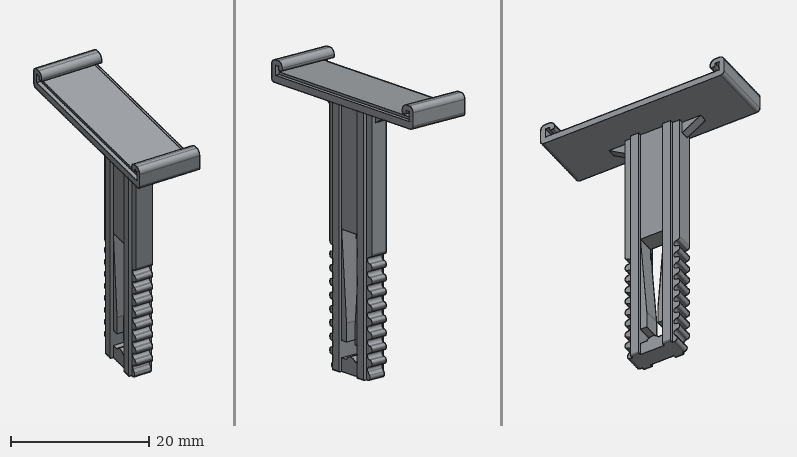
import cadquery as cq
import math

total_height = 44.65
plate_length = 31.1
plate_width = 10.0
half_length = plate_length / 2

channel_depth = 3.5
edge_thickness = 1.1
hook_thickness = 0.85
hook_reach = 2.35
hook_drop = 1.45
hook_bend_radius = 0.95
hook_tip_radius = 0.22
plate_corner_radius = 0.6
pad_height = 0.4
pad_margin = 0.65
plate_bottom = total_height - channel_depth
plate_top = plate_bottom + edge_thickness

post_y = 1.95
rail_depth = 3.85
body_depth = 2.75
rail_outer_x = 3.4
rail_inner_x = 2.0
rail_tip_radius = 0.2
post_half_width = 4.65

groove_count = 9
shoulder_z = 19.35
lowest_crest_z = 2.7
tooth_pitch = (shoulder_z - lowest_crest_z) / (groove_count - 1)
crest_land = 0.1
flank_length = 0.2
flank_turn = math.radians(80)
arc_rise = (tooth_pitch - crest_land - 2 * flank_length * math.cos(flank_turn)) / 4
tooth_radius = arc_rise / math.sin(flank_turn)
arc_depth = tooth_radius * (1 - math.cos(flank_turn))
groove_floor_x = post_half_width - 2 * arc_depth - flank_length * math.sin(flank_turn)
tip_lobe_x = 4.25
tip_lobe_radius = 0.55

slot_top = 21.6
taper_end_z = 7.6
finger_gap_half = 0.95
finger_bottom_z = 4.75
foot_height = 2.1
bump_height = 0.55
bump_half_width = 1.0

gusset_reach = 3.13
gusset_drop = 1.95
gusset_depth = 1.4


def front_plane(y_start):
    """Sketch plane facing -Y, with local x = X and local y = Z."""
    return cq.Workplane("XZ", origin=(0, y_start, 0))


def slab(outline, y_middle, depth):
    """Extrude a closed front outline to a depth centred on y_middle."""
    return outline(front_plane(y_middle - depth / 2)).extrude(-depth)


def with_mirror(solid):
    """Join a right-hand solid to its mirror image across X = 0."""
    return solid.union(solid.mirror("YZ"))


def hook_channel_outline(plane):
    """Right half of the plate section, including the curled hook."""
    inner_x = half_length - hook_thickness
    tip_x = half_length - hook_reach
    tip_inner_x = tip_x + hook_thickness
    under_hook_z = total_height - hook_thickness
    tip_z = total_height - hook_drop
    return (
        plane.moveTo(0, plate_bottom)
        .lineTo(half_length - plate_corner_radius, plate_bottom)
        .radiusArc((half_length, plate_bottom + plate_corner_radius), -plate_corner_radius)
        .lineTo(half_length, under_hook_z)
        .radiusArc((inner_x, total_height), -hook_thickness)
        .lineTo(tip_x + hook_bend_radius, total_height)
        .radiusArc((tip_x, total_height - hook_bend_radius), -hook_bend_radius)
        .lineTo(tip_x, tip_z + hook_tip_radius)
        .radiusArc((tip_x + hook_tip_radius, tip_z), -hook_tip_radius)
        .lineTo(tip_inner_x - hook_tip_radius, tip_z)
        .radiusArc((tip_inner_x, tip_z + hook_tip_radius), -hook_tip_radius)
        .lineTo(tip_inner_x, under_hook_z)
        .lineTo(inner_x, under_hook_z)
        .lineTo(inner_x, plate_top)
        .lineTo(0, plate_top)
        .close()
    )


def make_plate():
    channel = with_mirror(slab(hook_channel_outline, 0, plate_width))
    pad = cq.Workplane("XY", origin=(0, 0, plate_bottom)).box(
        plate_length - 2 * hook_thickness,
        plate_width - 2 * pad_margin,
        edge_thickness + pad_height,
        centered=(True, True, False),
    )
    return channel.union(pad)


def add_tip_lobe(outline):
    """Run the lowest groove along a tangent flank onto the rounded lobe at the tip."""
    groove_z = lowest_crest_z - tooth_pitch / 2
    groove_axis_x = groove_floor_x + tooth_radius
    lobe_axis_x = tip_lobe_x - tip_lobe_radius
    lobe_axis_z = tip_lobe_radius
    across = groove_axis_x - lobe_axis_x
    up = groove_z - lobe_axis_z
    tilt = math.atan2(up, across) - math.acos((tooth_radius + tip_lobe_radius) / math.hypot(across, up))
    groove_end = (
        groove_axis_x - tooth_radius * math.cos(tilt),
        groove_z - tooth_radius * math.sin(tilt),
    )
    lobe_start = (
        lobe_axis_x + tip_lobe_radius * math.cos(tilt),
        lobe_axis_z + tip_lobe_radius * math.sin(tilt),
    )
    return (
        outline.radiusArc(groove_end, -tooth_radius)
        .lineTo(*lobe_start)
        .threePointArc((tip_lobe_x, lobe_axis_z), (lobe_axis_x, 0))
    )


def body_outline(plane):
    """Right half of the toothed body, drawn from the plate down to the tip."""
    crest_side_x = post_half_width - arc_depth
    groove_side_x = groove_floor_x + arc_depth
    outline = plane.moveTo(0, plate_bottom).lineTo(post_half_width, plate_bottom)
    for index in range(groove_count):
        crest_z = shoulder_z - index * tooth_pitch
        groove_z = crest_z - tooth_pitch / 2
        crest_low_z = crest_z - crest_land / 2
        next_crest_top_z = crest_z - tooth_pitch + crest_land / 2
        outline = (
            outline.lineTo(post_half_width, crest_low_z)
            .radiusArc((crest_side_x, crest_low_z - arc_rise), tooth_radius)
            .lineTo(groove_side_x, groove_z + arc_rise)
            .radiusArc((groove_floor_x, groove_z), -tooth_radius)
        )
        if index < groove_count - 1:
            outline = (
                outline.radiusArc((groove_side_x, groove_z - arc_rise), -tooth_radius)
                .lineTo(crest_side_x, next_crest_top_z + arc_rise)
                .radiusArc((post_half_width, next_crest_top_z), tooth_radius)
            )
    return add_tip_lobe(outline).lineTo(0, 0).close()


def slot_outline(plane):
    """Slot between the tapered fingers, floored by the foot and its domed bump."""
    right_wall = [
        (rail_inner_x, foot_height),
        (rail_inner_x, finger_bottom_z),
        (finger_gap_half, finger_bottom_z),
        (finger_gap_half, taper_end_z),
        (rail_inner_x, slot_top),
    ]
    left_wall = [(-x, z) for x, z in reversed(right_wall)]
    return (
        plane.moveTo(-bump_half_width, foot_height)
        .threePointArc((0, foot_height + bump_height), (bump_half_width, foot_height))
        .polyline(right_wall + left_wall, includeCurrent=True)
        .close()
    )


def make_rail():
    rail = cq.Workplane("XY", origin=(rail_inner_x, post_y, 0)).box(
        rail_outer_x - rail_inner_x,
        rail_depth,
        plate_bottom,
        centered=(False, True, False),
    )
    return rail.faces("<Z").edges("|X").fillet(rail_tip_radius)


def gusset_outline(plane):
    return plane.polyline(
        [
            (rail_outer_x, plate_bottom),
            (post_half_width + gusset_reach, plate_bottom),
            (post_half_width, plate_bottom - gusset_drop),
            (rail_outer_x, plate_bottom - gusset_drop),
        ]
    ).close()


def make_post():
    body = with_mirror(slab(body_outline, post_y, body_depth))
    body = body.cut(slab(slot_outline, post_y, body_depth))
    rails = with_mirror(make_rail())
    gussets = with_mirror(slab(gusset_outline, post_y, gusset_depth))
    return body.union(rails).union(gussets)


result = make_plate().union(make_post())